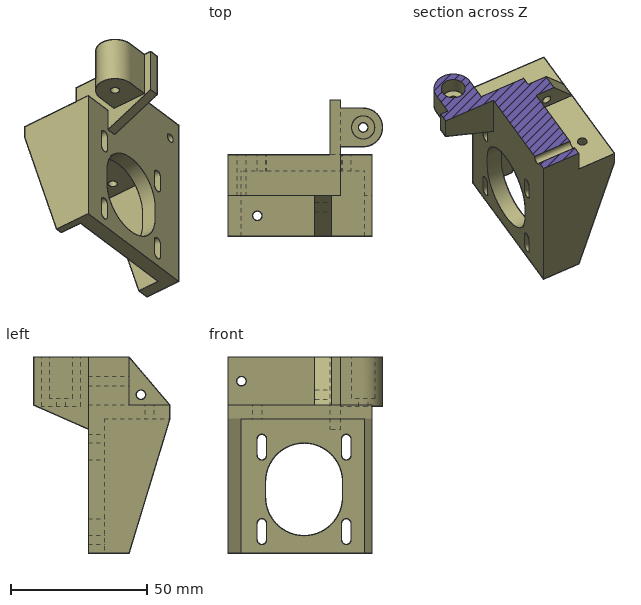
import cadquery as cq

height = 71.95
body_width = 52.8
shelf_depth = 15.0
body_depth = 2 * shelf_depth
total_width = 56.7
total_depth = 50.0

head_height = 17.6
shelf_thickness = 5.05
shelf_top = height - head_height
shelf_bottom = shelf_top - shelf_thickness
head_width = 41.3

left_wall = 4.8
right_wall = 2.8
plate_thickness = 5.9
plate_front = body_depth - plate_thickness

opening_x = 27.9
opening_z = 23.45
opening_width = 28.1
opening_height = 33.8
slot_spacing = 30.95
slot_width = 3.4
slot_height = 9.35

rib_start = 31.8
rib_thickness = 6.2

arm_thickness = 3.9
arm_start = head_width - arm_thickness
arm_root_height = 26.5
boss_radius = 7.1
boss_x = total_width - boss_radius
boss_y = 39.9
boss_height = 18.05
bore_diameter = 8.5
bore_floor = 2.9

screw_diameter = 3.4
front_hole_x = 5.0
front_hole_z = height - 8.85
shelf_hole_x = 10.8
shelf_hole_y = 7.55
rib_hole_y = 10.65
rib_hole_z = height - 13.8


def box(x0, x1, y0, y1, z0, z1):
    """Box between two opposite corners."""
    return cq.Workplane("XY").box(x1 - x0, y1 - y0, z1 - z0, centered=False).translate((x0, y0, z0))


def side_profile(points, x0, thickness):
    """Extrude a (Y, Z) outline along X from x0."""
    return cq.Workplane("YZ", origin=(x0, 0, 0)).polyline(points).close().extrude(thickness)


def make_body():
    """Shelf, walls and plate, with the head block above."""
    outline = [
        (body_depth, 0),
        (shelf_depth, 0),
        (0, shelf_bottom),
        (0, shelf_top),
        (body_depth, shelf_top),
    ]
    body = side_profile(outline, 0, body_width)
    recess = box(left_wall, body_width - right_wall, 0, plate_front, 0, shelf_bottom)
    head = box(0, head_width, shelf_depth, body_depth, shelf_top, height)
    return body.cut(recess).union(head)


def make_rib():
    """Triangular rib between the shelf and the head block."""
    outline = [(0, shelf_top), (shelf_depth, shelf_top), (shelf_depth, height)]
    return side_profile(outline, rib_start, rib_thickness)


def make_arm():
    """Rear arm with a sloping underside."""
    outline = [
        (plate_front, height),
        (total_depth, height),
        (total_depth, shelf_top),
        (body_depth, height - arm_root_height),
        (plate_front, height - arm_root_height),
    ]
    return side_profile(outline, arm_start, arm_thickness)


def make_boss():
    """Round-ended boss beside the arm."""
    bottom = height - boss_height
    web = box(arm_start, boss_x, boss_y - boss_radius, boss_y + boss_radius, bottom, height)
    end = cq.Workplane("XY", origin=(boss_x, boss_y, bottom)).circle(boss_radius).extrude(boss_height)
    return web.union(end)


def cut_boss_bore(part):
    """Blind bore from the top with a screw hole through its floor."""
    bottom = height - boss_height
    floor = bottom + bore_floor
    bore = cq.Workplane("XY", origin=(boss_x, boss_y, floor)).circle(bore_diameter / 2).extrude(boss_height)
    screw = cq.Workplane("XY", origin=(boss_x, boss_y, bottom)).circle(screw_diameter / 2).extrude(boss_height)
    return part.cut(bore).cut(screw)


def cut_plate_openings(part):
    """Motor opening and four upright slots through the plate."""
    plane = cq.Workplane("XZ", origin=(opening_x, body_depth, opening_z))
    opening = plane.slot2D(opening_height, opening_width, 90).extrude(plate_thickness)
    slots = plane.rect(slot_spacing, slot_spacing, forConstruction=True).vertices()
    slots = slots.slot2D(slot_height, slot_width, 90).extrude(plate_thickness)
    return part.cut(opening).cut(slots)


def cut_screw_holes(part):
    """One hole each through the head block, shelf and rib."""
    radius = screw_diameter / 2
    head = cq.Workplane("XZ", origin=(front_hole_x, body_depth, front_hole_z))
    shelf = cq.Workplane("XY", origin=(shelf_hole_x, shelf_hole_y, shelf_bottom))
    rib = cq.Workplane("YZ", origin=(rib_start, rib_hole_y, rib_hole_z))
    part = part.cut(head.circle(radius).extrude(shelf_depth))
    part = part.cut(shelf.circle(radius).extrude(shelf_thickness))
    return part.cut(rib.circle(radius).extrude(rib_thickness))


result = make_body().union(make_rib()).union(make_arm()).union(make_boss())
result = cut_boss_bore(result)
result = cut_plate_openings(result)
result = cut_screw_holes(result)